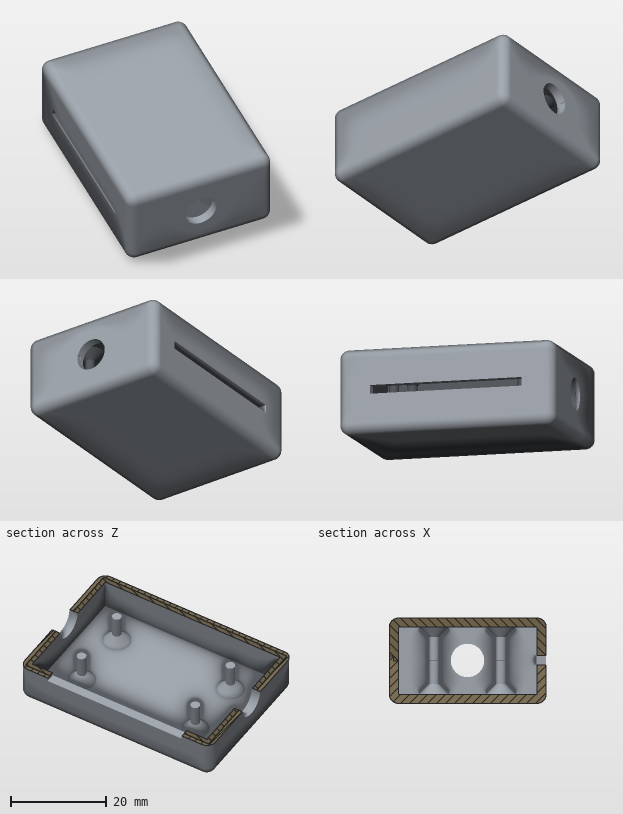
import cadquery as cq

LENGTH = 47.0
WIDTH = 33.0
HEIGHT = 18.0
WALL = 2.0
EDGE_RADIUS = WALL

LIP_HEIGHT = 1.05
LIP_THICKNESS = WALL / 2
MID_Z = HEIGHT / 2
PARTING_Z = MID_Z + LIP_HEIGHT

CABLE_HOLE_DIAMETER = 7.0

SLOT_LENGTH = 33.0
SLOT_DEPTH = 1.85

PIN_DIAMETER = 2.0
PIN_X = 14.0
PIN_Y = 7.0
PIN_ROOT_CHAMFER = PIN_DIAMETER
PIN_GAP = 0.1


def centred_block(length, width, bottom, top):
    """Rectangular block centred on the Z axis between two heights."""
    return cq.Workplane("XY", origin=(0, 0, bottom)).rect(length, width).extrude(top - bottom)


def inset_block(inset, bottom, top):
    """Block whose sides lie a given distance inside the outer walls."""
    return centred_block(LENGTH - 2 * inset, WIDTH - 2 * inset, bottom, top)


def hollow_shell():
    """Closed box with rounded outer edges and a sharp-cornered cavity."""
    outside = inset_block(0, 0, HEIGHT).edges().fillet(EDGE_RADIUS)
    return outside.cut(inset_block(WALL, WALL, HEIGHT - WALL))


def lid_space():
    """Region of the shell that belongs to the lid, lip included."""
    above_parting = inset_block(0, PARTING_Z, HEIGHT)
    return above_parting.union(inset_block(LIP_THICKNESS, MID_Z, PARTING_Z))


def cable_hole():
    """Round bore along the full length, at mid height."""
    bore = cq.Workplane("YZ", origin=(-LENGTH / 2, 0, MID_Z))
    return bore.circle(CABLE_HOLE_DIAMETER / 2).extrude(LENGTH)


def cable_notch():
    """Straight-sided opening from the bore up to the parting plane, for the base wall."""
    return centred_block(LENGTH, CABLE_HOLE_DIAMETER, MID_Z, PARTING_Z)


def front_slot():
    """Slot through the front wall; it also interrupts the lid's lip."""
    slot = centred_block(SLOT_LENGTH, WALL, PARTING_Z - SLOT_DEPTH, PARTING_Z)
    return slot.translate((0, (WALL - WIDTH) / 2, 0))


def flared_pin(length):
    """Upright pin on Z = 0 whose root flares out in a 45-degree cone."""
    radius = PIN_DIAMETER / 2
    root = radius + PIN_ROOT_CHAMFER
    return (
        cq.Workplane("XZ")
        .lineTo(root, 0)
        .lineTo(radius, PIN_ROOT_CHAMFER)
        .lineTo(radius, length)
        .lineTo(0, length)
        .close()
        .revolve(360, (0, 0, 0), (0, 1, 0))
    )


def add_pins(body, pin):
    """Join a pin to the body at each of the four pin positions."""
    for y in (-PIN_Y, PIN_Y):
        left_hand = pin.translate((-PIN_X, y, 0))
        body = body.union(left_hand).union(left_hand.mirror("YZ"))
    return body


def make_base():
    """Lower half: tray with the rebate, cable opening, slot and pins on its floor."""
    base = hollow_shell().cut(lid_space())
    base = base.cut(cable_hole()).cut(cable_notch()).cut(front_slot())
    pin = flared_pin(MID_Z - PIN_GAP / 2 - WALL).translate((0, 0, WALL))
    return add_pins(base, pin)


def make_lid():
    """Upper half: cover with the lip and pins hanging from its ceiling."""
    lid = hollow_shell().intersect(lid_space())
    lid = lid.cut(cable_hole()).cut(front_slot())
    pin = flared_pin(MID_Z - PIN_GAP / 2 - WALL).mirror("XY").translate((0, 0, HEIGHT - WALL))
    return add_pins(lid, pin)


base = make_base()
lid = make_lid()

result = cq.Compound.makeCompound([base.val(), lid.val()])